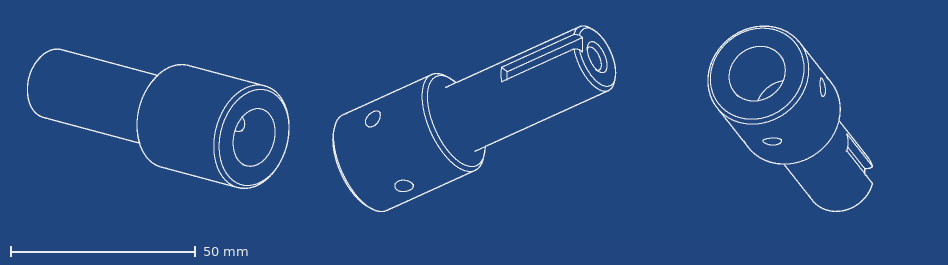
import cadquery as cq
import math

total_length = 79.15
shank_length = 47.3
shank_diameter = 19.1
head_diameter = 28.6
edge_chamfer = 1.0
neck_fillet = 1.5

centre_hole_diameter = 6.8
centre_hole_depth = 19.8
centre_countersink_diameter = 9.0
drill_point_angle = 118.0

keyway_width = 5.0
keyway_length = 25.3
keyway_floor = 6.7

socket_diameter = 15.9
socket_depth = 25.3
screw_hole_diameter = 5.0
screw_hole_x = 64.9

shank_radius = shank_diameter / 2
head_radius = head_diameter / 2


def make_body():
    """Stepped shaft with chamfered ends and a filleted neck."""
    neck_start = shank_length - neck_fillet
    neck_radius = shank_radius + neck_fillet
    arc_offset = neck_fillet * math.sqrt(0.5)
    profile = (
        cq.Workplane("XY")
        .lineTo(0, shank_radius - edge_chamfer)
        .lineTo(edge_chamfer, shank_radius)
        .lineTo(neck_start, shank_radius)
        .threePointArc(
            (neck_start + arc_offset, neck_radius - arc_offset),
            (shank_length, neck_radius),
        )
        .lineTo(shank_length, head_radius - edge_chamfer)
        .lineTo(shank_length + edge_chamfer, head_radius)
        .lineTo(total_length - edge_chamfer, head_radius)
        .lineTo(total_length, head_radius - edge_chamfer)
        .lineTo(total_length, 0)
        .close()
    )
    return profile.revolve(360, (0, 0, 0), (1, 0, 0))


def make_centre_hole():
    """Countersunk blind hole entering from the shank end."""
    hole_radius = centre_hole_diameter / 2
    countersink_radius = centre_countersink_diameter / 2
    countersink_depth = countersink_radius - hole_radius
    point_depth = hole_radius / math.tan(math.radians(drill_point_angle / 2))
    profile = (
        cq.Workplane("XY")
        .lineTo(0, countersink_radius)
        .lineTo(countersink_depth, hole_radius)
        .lineTo(centre_hole_depth, hole_radius)
        .lineTo(centre_hole_depth + point_depth, 0)
        .close()
    )
    return profile.revolve(360, (0, 0, 0), (1, 0, 0))


def make_keyway():
    """Square-ended slot, tall enough to break out of the shank surface."""
    slot_height = shank_radius - keyway_floor
    return (
        cq.Workplane("XY")
        .box(keyway_length, slot_height, keyway_width, centered=(False, False, True))
        .translate((0, keyway_floor, 0))
    )


def make_socket():
    """Plain blind bore entering from the head end."""
    return (
        cq.Workplane("YZ", origin=(total_length - socket_depth, 0, 0))
        .circle(socket_diameter / 2)
        .extrude(socket_depth)
    )


def make_screw_hole(direction):
    """Radial hole from the axis out through the head wall."""
    return cq.Workplane(
        cq.Solid.makeCylinder(
            screw_hole_diameter / 2,
            head_radius,
            cq.Vector(screw_hole_x, 0, 0),
            cq.Vector(*direction),
        )
    )


result = make_body().cut(make_centre_hole()).cut(make_keyway()).cut(make_socket())
for outward in [(0, 1, 0), (0, 0, -1)]:
    result = result.cut(make_screw_hole(outward))